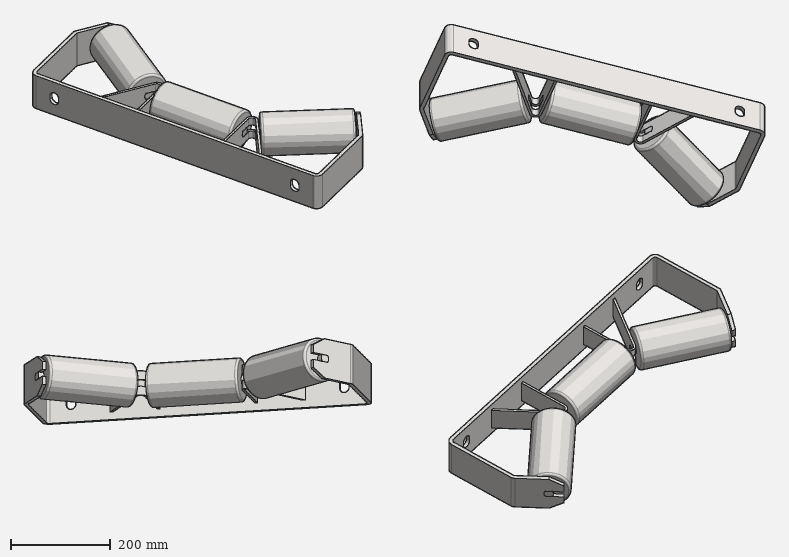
import cadquery as cq
import math

frame_width = 680.0
bar_height = 81.5
bar_thickness = 8.0
bar_bend_radius = 14.0
arm_length = 103.5
arm_chamfer_length = 30.0
arm_chamfer_height = 17.0

mount_slot_x = 283.0
mount_slot_width = 20.0
mount_slot_height = 28.5

roller_diameter = 89.0
roller_length = 190.5
roller_edge_radius = 5.0
roller_tilt = 35.0
side_roller_x = 211.0
side_roller_y = 168.0
middle_roller_y = 101.0
shaft_diameter = 20.0
shaft_flat_width = 14.0

bracket_thickness = 5.0
bracket_height = 50.0
bracket_bend_radius = 13.0
roller_clearance = 3.5

wall_offset = roller_length / 2 + roller_clearance
tilt = math.radians(roller_tilt)
BOTH_SIDES = (-1, 1)


def bent_strip(path, thickness, bend_radius, height):
    """Strip lying left of `path`, its outer face line; every bend turns left."""
    points = [cq.Vector(x, y) for x, y in path]
    directions = [(b - a).normalized() for a, b in zip(points, points[1:])]
    normals = [cq.Vector(-d.y, d.x) for d in directions]

    def bend_points(index, radius):
        before = normals[index - 1]
        after = normals[index]
        bisector = (before + after).normalized()
        centre = points[index] + bisector * (bend_radius / bisector.dot(before))
        return [centre - n * radius for n in (before, bisector, after)]

    bends = range(1, len(points) - 1)
    outline = cq.Workplane("XY", origin=(0, 0, -height / 2)).moveTo(points[0].x, points[0].y)
    for index in bends:
        start, middle, end = bend_points(index, bend_radius)
        outline = outline.lineTo(start.x, start.y).threePointArc(middle.toTuple()[:2], end.toTuple()[:2])
    outer_end = points[-1]
    inner_end = outer_end + normals[-1] * thickness
    outline = outline.lineTo(outer_end.x, outer_end.y).lineTo(inner_end.x, inner_end.y)
    for index in reversed(bends):
        end, middle, start = bend_points(index, bend_radius - thickness)
        outline = outline.lineTo(start.x, start.y).threePointArc(middle.toTuple()[:2], end.toTuple()[:2])
    inner_start = points[0] + normals[0] * thickness
    return outline.lineTo(inner_start.x, inner_start.y).close().extrude(height)


def place_side_roller(shape, side):
    """Move a shape from roller axes to the roller on the given side."""
    return shape.rotate((0, 0, 0), (0, 0, 1), side * roller_tilt).translate(
        (side * side_roller_x, side_roller_y, 0)
    )


def shaft_profile(start_x, length):
    """Round bar along X with two flats, facing +Z and -Z."""
    bar = cq.Workplane("YZ", origin=(start_x, 0, 0)).circle(shaft_diameter / 2).extrude(length)
    flats = cq.Workplane("XY").box(frame_width, shaft_diameter, shaft_flat_width)
    return bar.intersect(flats)


def shaft_slot(end, thickness, depth):
    """Cutter for the open slot at one end of a roller: shaft seat and straight way out along +Y."""
    start_x = wall_offset if end > 0 else -wall_offset - thickness
    seat = shaft_profile(start_x, thickness)
    way_out = cq.Workplane("XY").box(thickness, depth, shaft_flat_width, centered=(False, False, True))
    return seat.union(way_out.translate((start_x, 0, 0)))


def make_roller(left_wall, right_wall):
    """Roller along X at the origin; its shaft ends flush with the far faces of both walls."""
    body = (
        cq.Workplane("YZ", origin=(-roller_length / 2, 0, 0))
        .circle(roller_diameter / 2)
        .extrude(roller_length)
        .edges()
        .fillet(roller_edge_radius)
    )
    journal = cq.Workplane("YZ").circle(shaft_diameter / 2).extrude(wall_offset, both=True)
    ends = shaft_profile(-wall_offset - left_wall, 2 * wall_offset + left_wall + right_wall)
    return body.union(journal).union(ends)


def make_side_roller(side):
    """Tilted roller held between an arm of the frame and a bracket."""
    if side > 0:
        return place_side_roller(make_roller(bracket_thickness, bar_thickness), side)
    return place_side_roller(make_roller(bar_thickness, bracket_thickness), side)


def make_frame():
    """Bent bar with two mounting slots in its base and an open shaft slot in each tilted arm."""
    half_width = frame_width / 2
    arm_face_distance = wall_offset + bar_thickness
    side_gap = half_width - side_roller_x
    arm_bend_y = side_roller_y + (arm_face_distance - side_gap * math.cos(tilt)) / math.sin(tilt)
    tip_x = half_width - arm_length * math.sin(tilt)
    tip_y = arm_bend_y + arm_length * math.cos(tilt)
    path = [
        (-tip_x, tip_y),
        (-half_width, arm_bend_y),
        (-half_width, 0),
        (half_width, 0),
        (half_width, arm_bend_y),
        (tip_x, tip_y),
    ]
    frame = bent_strip(path, bar_thickness, bar_bend_radius, bar_height)
    mount_slots = (
        cq.Workplane("XZ")
        .pushPoints([(side * mount_slot_x, 0) for side in BOTH_SIDES])
        .slot2D(mount_slot_height, mount_slot_width, 90)
        .extrude(-bar_thickness)
    )
    frame = frame.cut(mount_slots)
    for side in BOTH_SIDES:
        frame = frame.cut(place_side_roller(shaft_slot(side, bar_thickness, arm_length), side))
        frame = frame.cut(arm_corners(side, tip_x, tip_y))
    return frame


def arm_corners(side, tip_x, tip_y):
    """Cutter for the two chamfered corners at the tip of an arm."""
    half_height = bar_height / 2
    corners = cq.Workplane("YZ", origin=(-2 * bar_thickness, 0, 0))
    for z_side in BOTH_SIDES:
        corners = corners.polyline(
            [
                (0, z_side * half_height),
                (-arm_chamfer_length, z_side * half_height),
                (0, z_side * (half_height - arm_chamfer_height)),
            ]
        ).close()
    cutter = corners.extrude(4 * bar_thickness)
    return cutter.rotate((0, 0, 0), (0, 0, 1), side * roller_tilt).translate((side * tip_x, tip_y, 0))


def make_bracket(side):
    """Bracket with a straight leg by the middle roller and a tilted leg by the side roller."""
    face_x = -side_roller_x + wall_offset * math.cos(tilt)
    face_y = side_roller_y - wall_offset * math.sin(tilt)
    apex_y = face_y + (-wall_offset - face_x) / math.tan(tilt)
    foot_x = face_x - face_y * math.tan(tilt)
    path = [(-wall_offset, 0), (-wall_offset, apex_y), (foot_x, 0)]
    bracket = bent_strip(path, bracket_thickness, bracket_bend_radius, bracket_height)
    bracket = bracket.cut(cq.Workplane("XY").box(frame_width, 2 * bar_thickness, 2 * bar_height))
    straight_slot = shaft_slot(-1, bracket_thickness, apex_y - middle_roller_y)
    tilted_slot = shaft_slot(1, bracket_thickness, roller_diameter / 2)
    crest_slot = cq.Workplane("XY").box(
        -foot_x, apex_y - face_y, shaft_flat_width, centered=(False, False, True)
    )
    bracket = bracket.cut(straight_slot.translate((0, middle_roller_y, 0)))
    bracket = bracket.cut(place_side_roller(tilted_slot, -1))
    bracket = bracket.cut(crest_slot.translate((foot_x, face_y, 0)))
    return bracket.mirror("YZ") if side > 0 else bracket


frame = make_frame()
brackets = [make_bracket(side) for side in BOTH_SIDES]
middle_roller = make_roller(bracket_thickness, bracket_thickness).translate((0, middle_roller_y, 0))
side_rollers = [make_side_roller(side) for side in BOTH_SIDES]
bodies = [frame, *brackets, middle_roller, *side_rollers]
result = cq.Compound.makeCompound([body.val() for body in bodies])